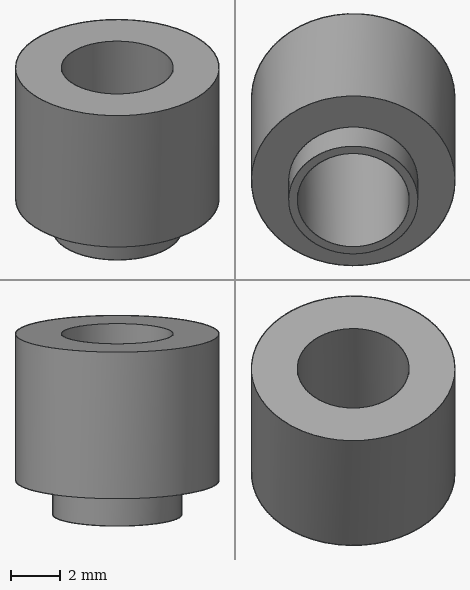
import cadquery as cq

body_diameter = 8.2
body_height = 6.0
spigot_diameter = 5.2
spigot_length = 1.4
bore_diameter = 4.5

total_height = spigot_length + body_height


def cylinder(diameter, height, base_z=0.0):
    """Upright cylinder on the Z axis, standing on base_z."""
    return cq.Workplane("XY").workplane(offset=base_z).circle(diameter / 2).extrude(height)


spigot = cylinder(spigot_diameter, spigot_length)
body = cylinder(body_diameter, body_height, base_z=spigot_length)

bore = cylinder(bore_diameter, total_height)

result = spigot.union(body).cut(bore)